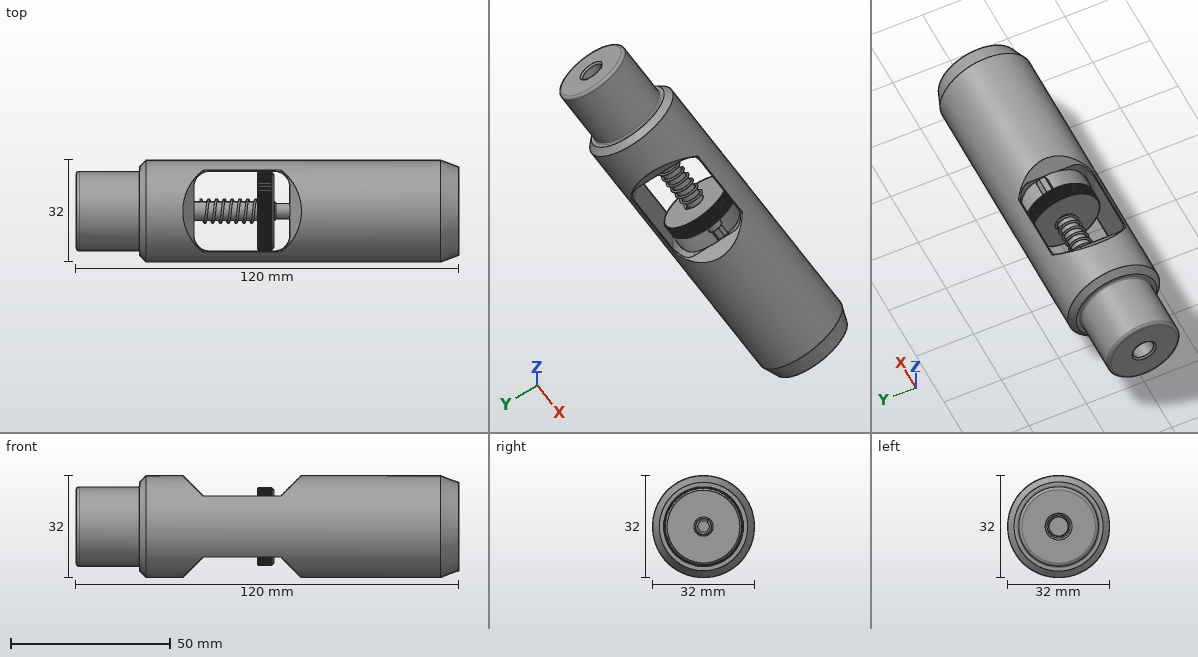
import cadquery as cq
import math


LENGTH = 120.0
BODY_DIA = 32.0
STUB_DIA = 25.0
STUB_LENGTH = 19.9
STUB_END_FILLET = 1.0
STUB_ROOT_FILLET = 0.4
SHOULDER_CHAMFER = 2.0
TAPER_LENGTH = 5.8
TAPER_END_DIA = 27.7

WINDOW_START = 37.0
WINDOW_LENGTH = 30.0
WINDOW_END = WINDOW_START + WINDOW_LENGTH
WINDOW_CORNER_RADIUS = 4.8
FLAT_HEIGHT = 9.6
FLAT_START = 39.8
FLAT_END = 64.2

BORE_DIA = 25.0
TIP_HOLE_DIA = 7.2
TIP_HOLE_DEPTH = 18.0
TIP_HOLE_CHAMFER = 0.6
ROD_HOLE_DIA = 6.1

ROD_DIA = 6.0
ROD_END = 62.6
ROD_END_CHAMFER = 0.5
PIN_DIA = 4.9
PIN_END = 67.8

HEX_FLATS = 3.5
HEX_CORNER_DIA = HEX_FLATS / math.cos(math.pi / 6)
HEX_END = 73.9

WHEEL_DIA = 24.5
WHEEL_START = 56.9
WHEEL_WIDTH = 5.2
WHEEL_END = WHEEL_START + WHEEL_WIDTH
WHEEL_FRONT_CHAMFER = 0.4
WHEEL_BACK_CHAMFER = 0.8
KNURL_TEETH = 150
KNURL_DEPTH = 0.2

SPRING_INNER_DIA = 6.2
WIRE_DIA = 0.7
SPRING_START = 39.1
SPRING_TURNS = 7.1


def cylinder(start, end, dia):
    """Solid cylinder on the X axis."""
    return cq.Workplane("YZ", origin=(start, 0, 0)).circle(dia / 2).extrude(end - start)


def revolve_about_x(points):
    """Solid turned about the X axis from (x, radius) points."""
    return cq.Workplane("XY").polyline(points).close().revolve(360, (0, 0, 0), (1, 0, 0))


def make_outer_shape():
    """Turned outside of the housing: stub, chamfered shoulder, barrel and end taper."""
    body_radius = BODY_DIA / 2
    stub_radius = STUB_DIA / 2
    fillet_mid = STUB_END_FILLET * (1 - math.sqrt(0.5))
    root_mid = STUB_ROOT_FILLET * (1 - math.sqrt(0.5))
    return (
        cq.Workplane("XY")
        .moveTo(0, 0)
        .lineTo(0, stub_radius - STUB_END_FILLET)
        .threePointArc((fillet_mid, stub_radius - fillet_mid), (STUB_END_FILLET, stub_radius))
        .lineTo(STUB_LENGTH - STUB_ROOT_FILLET, stub_radius)
        .threePointArc(
            (STUB_LENGTH - root_mid, stub_radius + root_mid),
            (STUB_LENGTH, stub_radius + STUB_ROOT_FILLET),
        )
        .lineTo(STUB_LENGTH, body_radius - SHOULDER_CHAMFER)
        .lineTo(STUB_LENGTH + SHOULDER_CHAMFER, body_radius)
        .lineTo(LENGTH - TAPER_LENGTH, body_radius)
        .lineTo(LENGTH, TAPER_END_DIA / 2)
        .lineTo(LENGTH, 0)
        .close()
        .revolve(360, (0, 0, 0), (1, 0, 0))
    )


def make_ramped_cut(side):
    """Cutter for the flat and its 45 degree ramps, on the +Z (1) or -Z (-1) side."""
    rise = BODY_DIA / 2 - FLAT_HEIGHT
    return (
        cq.Workplane("XZ")
        .polyline([
            (FLAT_START, side * FLAT_HEIGHT),
            (FLAT_END, side * FLAT_HEIGHT),
            (FLAT_END + rise, side * BODY_DIA / 2),
            (FLAT_START - rise, side * BODY_DIA / 2),
        ])
        .close()
        .extrude(BODY_DIA / 2, both=True)
    )


def make_window_cut():
    """Cutter for the window, straight through along Z."""
    return (
        cq.Workplane("XY")
        .center((WINDOW_START + WINDOW_END) / 2, 0)
        .rect(WINDOW_LENGTH, BORE_DIA)
        .extrude(BODY_DIA / 2, both=True)
        .edges("|Z")
        .fillet(WINDOW_CORNER_RADIUS)
    )


def make_tip_hole_cut():
    """Cutter for the stepped hole from the tip to the window, chamfered at its mouth."""
    hole_radius = TIP_HOLE_DIA / 2
    rod_hole_radius = ROD_HOLE_DIA / 2
    return revolve_about_x([
        (0, 0),
        (0, hole_radius + TIP_HOLE_CHAMFER),
        (TIP_HOLE_CHAMFER, hole_radius),
        (TIP_HOLE_DEPTH, hole_radius),
        (TIP_HOLE_DEPTH, rod_hole_radius),
        (WINDOW_START, rod_hole_radius),
        (WINDOW_START, 0),
    ])


def make_housing():
    housing = make_outer_shape()
    for side in (1, -1):
        housing = housing.cut(make_ramped_cut(side))
    housing = housing.cut(make_window_cut())
    housing = housing.cut(make_tip_hole_cut())
    return housing.cut(cylinder(WINDOW_END - WINDOW_CORNER_RADIUS, LENGTH, BORE_DIA))


def make_rod():
    shaft = cylinder(TIP_HOLE_DEPTH, ROD_END, ROD_DIA).faces(">X").chamfer(ROD_END_CHAMFER)
    pin = cylinder(ROD_END, PIN_END, PIN_DIA)
    return shaft.union(pin)


def make_hex_bit():
    return (
        cq.Workplane("YZ", origin=(PIN_END, 0, 0))
        .polygon(6, HEX_CORNER_DIA)
        .extrude(HEX_END - PIN_END)
    )


def make_wheel():
    """Chamfered disc on the rod, with V-shaped knurl teeth around its rim."""
    rim_radius = WHEEL_DIA / 2
    disc = revolve_about_x([
        (WHEEL_START, 0),
        (WHEEL_START, rim_radius - WHEEL_FRONT_CHAMFER),
        (WHEEL_START + WHEEL_FRONT_CHAMFER, rim_radius),
        (WHEEL_END - WHEEL_BACK_CHAMFER, rim_radius),
        (WHEEL_END, rim_radius - WHEEL_BACK_CHAMFER),
        (WHEEL_END, 0),
    ])
    teeth = []
    for i in range(KNURL_TEETH):
        for radius, step in ((rim_radius, 0), (rim_radius - KNURL_DEPTH, 0.5)):
            angle = 2 * math.pi * (i + step) / KNURL_TEETH
            teeth.append((radius * math.cos(angle), radius * math.sin(angle)))
    toothed_bar = cq.Workplane("YZ", origin=(WHEEL_START, 0, 0)).polyline(teeth).close().extrude(WHEEL_WIDTH)
    return disc.intersect(toothed_bar).cut(cylinder(WHEEL_START, WHEEL_END, ROD_DIA))


def make_spring():
    """Round wire coiled left-handed; it starts on the +Y side and ends against the wheel."""
    coil_radius = (SPRING_INNER_DIA + WIRE_DIA) / 2
    coil_length = WHEEL_START - WIRE_DIA / 2 - SPRING_START
    coil_path = cq.Wire.makeHelix(coil_length / SPRING_TURNS, coil_length, coil_radius, lefthand=True)
    spring = (
        cq.Workplane("XZ", origin=(coil_radius, 0, 0))
        .circle(WIRE_DIA / 2)
        .sweep(cq.Workplane(obj=coil_path), isFrenet=True)
    )
    return (
        spring
        .rotate((0, 0, 0), (0, 0, 1), 90)
        .rotate((0, 0, 0), (0, 1, 0), 90)
        .translate((SPRING_START, 0, 0))
    )


housing = make_housing()
rod = make_rod()
hex_bit = make_hex_bit()
wheel = make_wheel()
spring = make_spring()

result = cq.Compound.makeCompound([
    housing.val(),
    rod.val(),
    hex_bit.val(),
    wheel.val(),
    spring.val(),
])